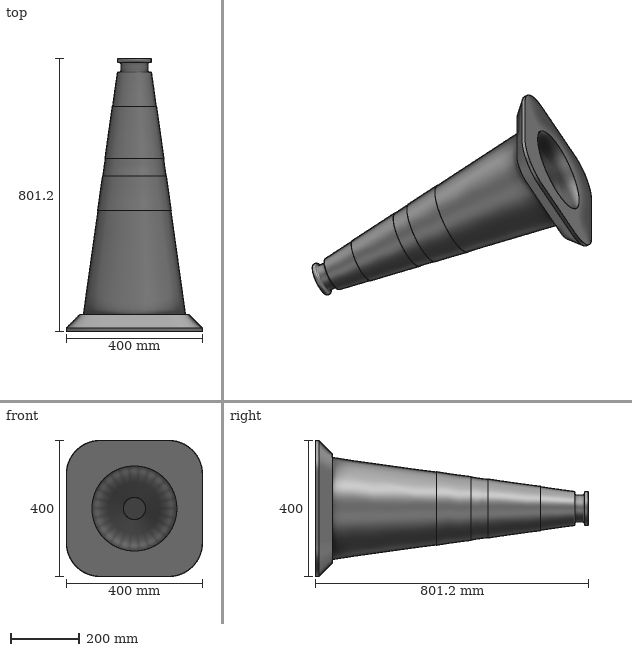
import cadquery as cq
import math

base_width = 400.0
base_corner_radius = 100.0
base_height = 50.0
base_rim_height = 10.0
base_flank_inset = base_height - base_rim_height

cone_half_angle = math.radians(8.0)
cone_base_radius = 150.0
cone_slope = math.tan(cone_half_angle)

sleeve_thickness = 1.0
sleeve_spans = [(355.0, 457.0), (507.0, 660.0)]

overall_height = 801.2
neck_length = 28.0
neck_radius = 40.0
flange_radius = 50.0
flange_thickness = 12.0
edge_fillet = 4.0
flange_bottom_y = overall_height - flange_thickness
cone_top_y = flange_bottom_y - neck_length

wall_thickness = 25.0
top_solid_length = 55.0
bore_radius = cone_base_radius - wall_thickness / math.cos(cone_half_angle)
bore_end_y = cone_top_y - top_solid_length


def cone_radius_at(y):
    """Radius of the outside of the conical body at a distance y from the underside."""
    return cone_base_radius - (y - base_height) * cone_slope


def revolve_profile(profile):
    """Turn a closed (radius, y) profile into a solid of revolution about the Y axis."""
    return profile.close().revolve(360, (0, 0, 0), (0, 1, 0))


def make_base():
    """Rounded square plate in the XZ plane, from y = 0 up to the foot of the cone."""
    base = cq.Workplane("XZ").rect(base_width, base_width).extrude(-base_height)
    base = base.edges("|Y").fillet(base_corner_radius)
    return base.faces(">Y").edges().chamfer(base_flank_inset)


def make_cone():
    """Solid conical body with a rounded top edge; it starts at y = 0 inside the base plate."""
    profile = (
        cq.Workplane("XY")
        .lineTo(cone_base_radius, 0)
        .lineTo(cone_base_radius, base_height)
        .lineTo(cone_radius_at(cone_top_y), cone_top_y)
        .lineTo(0, cone_top_y)
    )
    cone = revolve_profile(profile)
    return cone.faces(">Y").edges().fillet(edge_fillet)


def make_sleeve(start_y, end_y):
    """Conical band of constant thickness over the cone between two heights."""
    radial_thickness = sleeve_thickness / math.cos(cone_half_angle)
    profile = (
        cq.Workplane("XY")
        .moveTo(0, start_y)
        .lineTo(cone_radius_at(start_y) + radial_thickness, start_y)
        .lineTo(cone_radius_at(end_y) + radial_thickness, end_y)
        .lineTo(0, end_y)
    )
    return revolve_profile(profile)


def make_head():
    """Neck filleted at both ends, carrying the rounded grip flange."""
    flange_face_radius = flange_radius - edge_fillet
    profile = (
        cq.Workplane("XY")
        .moveTo(0, cone_top_y)
        .lineTo(neck_radius + edge_fillet, cone_top_y)
        .radiusArc((neck_radius, cone_top_y + edge_fillet), edge_fillet)
        .lineTo(neck_radius, flange_bottom_y - edge_fillet)
        .radiusArc((neck_radius + edge_fillet, flange_bottom_y), edge_fillet)
        .lineTo(flange_face_radius, flange_bottom_y)
        .radiusArc((flange_radius, flange_bottom_y + edge_fillet), -edge_fillet)
        .lineTo(flange_radius, overall_height - edge_fillet)
        .radiusArc((flange_face_radius, overall_height), -edge_fillet)
        .lineTo(0, overall_height)
    )
    return revolve_profile(profile)


def make_bore():
    """Blind cavity open at the underside of the base plate."""
    bore_end_radius = bore_radius - (bore_end_y - base_height) * cone_slope
    profile = (
        cq.Workplane("XY")
        .lineTo(bore_radius, 0)
        .lineTo(bore_radius, base_height)
        .lineTo(bore_end_radius, bore_end_y)
        .lineTo(0, bore_end_y)
    )
    return revolve_profile(profile)


body = make_base().union(make_cone())
for sleeve_start, sleeve_end in sleeve_spans:
    body = body.union(make_sleeve(sleeve_start, sleeve_end))
body = body.union(make_head())

result = body.cut(make_bore())